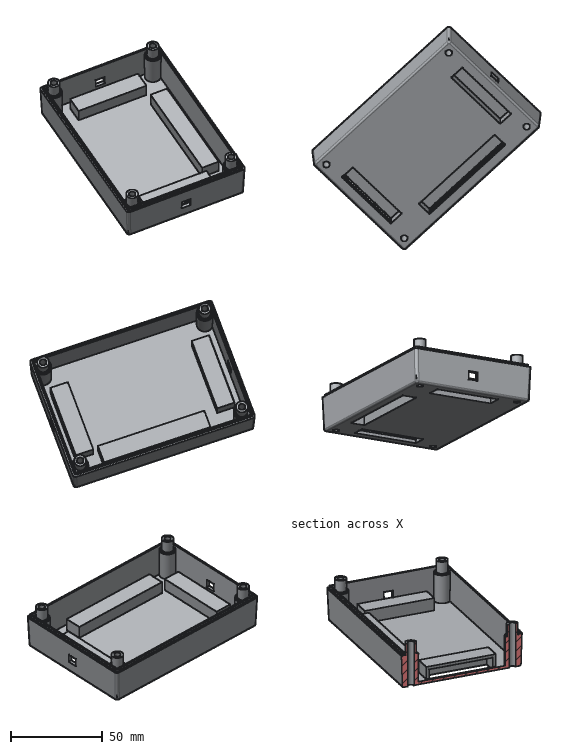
import cadquery as cq

length = 105.9
width = 72.8
total_height = 26.3
shoulder_height = 19.4
lip_height = 1.5
lip_inset = 1.2
wall = 2.0
draft_angle = 2.0
corner_radius = 1.6
bottom_radius = 1.2
lip_corner_radius = 0.6

post_edge_distance = 5.9
post_top = 19.3
post_radius = 4.5
post_chamfer = 0.5
pin_radius = 3.3
bore_radius = 1.8

pad_width = 10.2
pad_top = 9.4
pad_wall = 1.8
end_pad_length = 41.8
end_pad_outer_x = 46.2
back_pad_length = 61.8
back_pad_centre_x = 2.0
back_pad_outer_y = 30.0

opening_width = 5.6
opening_bottom = 6.5
opening_top = 11.3

rim_height = shoulder_height + lip_height


def block(x_size, y_size, z_min, z_max):
    """Box centred on the Z axis in plan, spanning z_min to z_max."""
    return cq.Workplane("XY", origin=(0, 0, z_min)).rect(x_size, y_size).extrude(z_max - z_min)


def outer_body():
    """Solid case, drafted inward toward a rounded bottom edge."""
    body = (
        cq.Workplane("XY", origin=(0, 0, shoulder_height))
        .rect(length, width)
        .extrude(-shoulder_height, taper=draft_angle)
    )
    body = body.edges("not(|X or |Y)").fillet(corner_radius)
    return body.faces("<Z").edges().fillet(bottom_radius)


def lip():
    """Narrow raised rim set in from the outer wall."""
    lip_block = block(length - 2 * lip_inset, width - 2 * lip_inset, shoulder_height, rim_height)
    return lip_block.edges("|Z").fillet(lip_corner_radius)


def cavity():
    """Inner space with the same draft as the outside."""
    return (
        cq.Workplane("XY", origin=(0, 0, rim_height))
        .rect(length - 2 * wall, width - 2 * wall)
        .extrude(wall - rim_height, taper=draft_angle)
    )


def post_cylinders(radius, z_min, z_max):
    """One upright cylinder on each of the four post axes."""
    return (
        cq.Workplane("XY", origin=(0, 0, z_min))
        .rect(length - 2 * post_edge_distance, width - 2 * post_edge_distance, forConstruction=True)
        .vertices()
        .circle(radius)
        .extrude(z_max - z_min)
    )


def corner_fills():
    """Material closing the gap between each post and the corner of the walls behind it."""
    fill_side = post_edge_distance - wall / 2
    fill_spacing_x = length - wall - fill_side
    fill_spacing_y = width - wall - fill_side
    return (
        cq.Workplane("XY", origin=(0, 0, wall))
        .rect(fill_spacing_x, fill_spacing_y, forConstruction=True)
        .vertices()
        .rect(fill_side, fill_side)
        .extrude(post_top - wall)
    )


def posts():
    """Chamfered corner posts, each with a locating pin on top."""
    columns = post_cylinders(post_radius, wall, post_top).faces(">Z").edges().chamfer(post_chamfer)
    columns = columns.union(corner_fills())
    return columns.union(post_cylinders(pin_radius, wall, total_height))


def place_pad(shape, centre_x, outer_distance, turn):
    """Move a shape whose outer long side lies on the X axis, then turn it about the case middle."""
    return shape.translate((centre_x, outer_distance, 0)).rotate((0, 0, 0), (0, 0, 1), turn)


def add_pad(case, pad_length, centre_x, outer_distance, turn):
    """Add a pad hollowed from below, open along the long side facing the case wall."""
    pad = block(pad_length, pad_width, 0, pad_top).translate((0, -pad_width / 2, 0))
    hollow_width = pad_width - pad_wall
    hollow = block(pad_length - 2 * pad_wall, hollow_width, 0, pad_top - pad_wall)
    hollow = hollow.translate((0, -hollow_width / 2, 0))
    case = case.union(place_pad(pad, centre_x, outer_distance, turn))
    return case.cut(place_pad(hollow, centre_x, outer_distance, turn))


result = outer_body().union(lip()).cut(cavity())
result = result.cut(block(length, opening_width, opening_bottom, opening_top))
result = result.union(posts()).cut(post_cylinders(bore_radius, 0, total_height))

result = add_pad(result, back_pad_length, back_pad_centre_x, back_pad_outer_y, 0)
for end_turn in (90, -90):
    result = add_pad(result, end_pad_length, 0, end_pad_outer_x, end_turn)